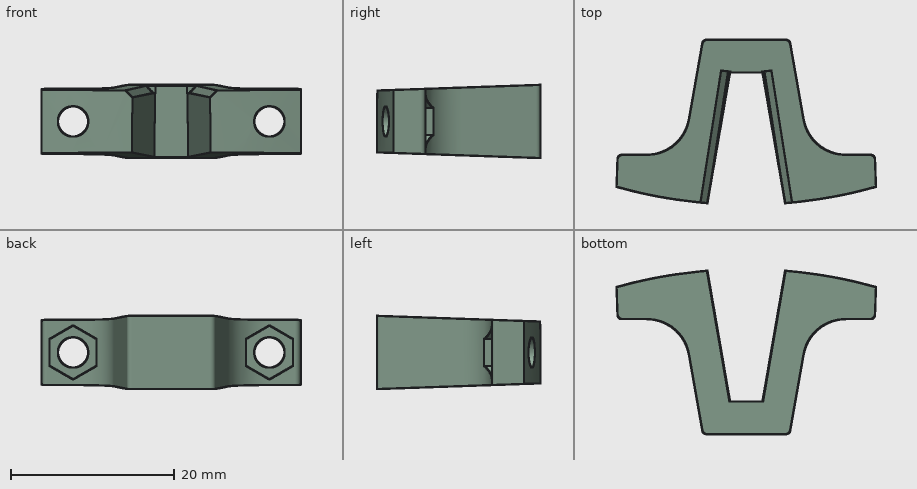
import cadquery as cq
import math

width = 31.8
depth = 20.05
back_height = 9.0
face_taper = 2.0

leg_angle = 10.0
back_half_width = 5.3
ledge_y = -14.1
foot_side_angle = 2.0
foot_tip_y = -18.05
corner_radius = 0.6
root_radius = 5.2
front_radius = 58.53

gap_back_y = -4.05
gap_back_half_width = 1.97
gap_front_half_width = 4.75
gap_draft = 0.1

relief_size = 0.85
relief_back_y = -3.9
relief_ledge = 0.3
relief_half_width = 2.23
relief_angle = 8.9

hole_x = 12.02
hole_diameter = 3.7
nut_across_flats = 5.73
nut_seat_y = -16.48

margin = 1.6

half_width = width / 2
half_height = back_height / 2
taper_slope = math.tan(math.radians(face_taper))


def make_body():
    leg_slope = math.tan(math.radians(leg_angle))
    root_x = back_half_width - ledge_y * leg_slope
    foot_back_x = half_width - (ledge_y - foot_tip_y) * math.tan(math.radians(foot_side_angle))
    front_center_y = foot_tip_y + math.sqrt(front_radius**2 - half_width**2)
    body = (
        cq.Workplane("XY")
        .moveTo(-back_half_width, 0)
        .lineTo(back_half_width, 0)
        .lineTo(root_x, ledge_y)
        .lineTo(foot_back_x, ledge_y)
        .lineTo(half_width, foot_tip_y)
        .threePointArc((0, front_center_y - front_radius), (-half_width, foot_tip_y))
        .lineTo(-foot_back_x, ledge_y)
        .lineTo(-root_x, ledge_y)
        .close()
        .extrude(half_height, both=True)
    )

    def upright_edges_at(x, y):
        reach = 0.03
        return cq.selectors.BoxSelector(
            (x - reach, y - reach, -reach), (x + reach, y + reach, reach)
        )

    for side in (-1, 1):
        body = body.edges(upright_edges_at(side * root_x, ledge_y)).fillet(root_radius)
        for x, y in ((back_half_width, 0), (foot_back_x, ledge_y)):
            body = body.edges(upright_edges_at(side * x, y)).fillet(corner_radius)

    front_y = -depth - margin
    front_half_height = half_height + front_y * taper_slope
    wedge = (
        cq.Workplane("YZ")
        .polyline([
            (0, half_height),
            (0, -half_height),
            (front_y, -front_half_height),
            (front_y, front_half_height),
        ])
        .close()
        .extrude(half_width + margin, both=True)
    )
    return body.intersect(wedge)


def make_gap():
    slope = (gap_front_half_width - gap_back_half_width) / (depth + gap_back_y)
    front_y = -depth - margin

    def section(extra):
        back_x = gap_back_half_width + extra
        front_x = back_x + slope * (gap_back_y - front_y)
        return [(-back_x, gap_back_y), (back_x, gap_back_y), (front_x, front_y), (-front_x, front_y)]

    return (
        cq.Workplane("XY", origin=(0, 0, -half_height))
        .polyline(section(gap_draft))
        .close()
        .workplane(offset=back_height)
        .polyline(section(0))
        .close()
        .loft(ruled=True)
    )


def make_relief():
    """45-degree cutter for the right leg, following the slope of its top face."""
    lean = math.radians(relief_angle)
    start_z = half_height + relief_back_y * taper_slope
    across = cq.Vector(math.cos(lean), math.sin(lean), 0)
    along = cq.Vector(math.sin(lean), -math.cos(lean), -taper_slope * math.cos(lean))
    plane = cq.Plane(origin=(relief_half_width, relief_back_y, start_z), xDir=across, normal=along)
    profile = [
        (-relief_ledge, -relief_size),
        (0, -relief_size),
        (relief_size + margin, margin),
        (-relief_ledge, margin),
    ]
    return cq.Workplane(plane).polyline(profile).close().extrude(depth)


def make_fastener_cut(x):
    """Screw hole along Y with a hexagonal nut seat sunk into the back of the foot."""
    hole = (
        cq.Workplane("XZ", origin=(x, 0, 0))
        .circle(hole_diameter / 2)
        .extrude(depth + margin)
    )
    nut = (
        cq.Workplane("XZ", origin=(x, nut_seat_y, 0))
        .transformed(rotate=(0, 0, 30))
        .polygon(6, nut_across_flats / math.cos(math.pi / 6))
        .extrude(nut_seat_y)
    )
    return hole.union(nut)


relief = make_relief()
result = make_body().cut(make_gap()).cut(relief).cut(relief.mirror("YZ"))
for side in (-1, 1):
    result = result.cut(make_fastener_cut(side * hole_x))